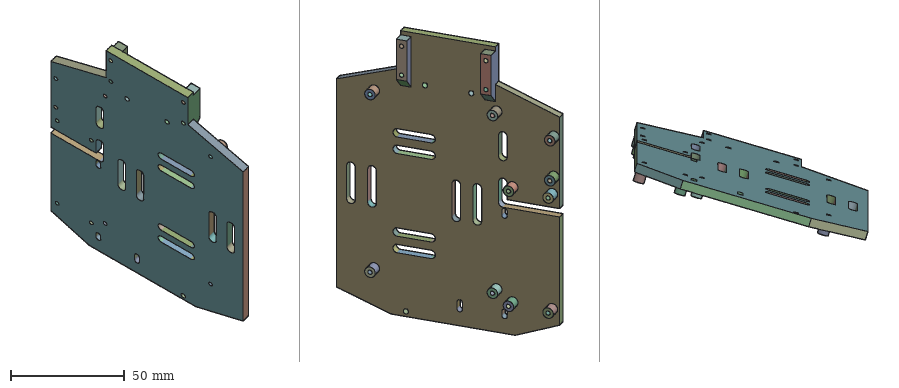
import cadquery as cq

plate_width = 106.0
plate_height = 138.0
plate_thickness = 4.0
back_height = 5.0
back_overlap = 1.0
half_width = plate_width / 2
top_z = plate_height / 2
bottom_z = -top_z

tab_half_width = 22.5
tab_base_z = 50.8
shoulder_z = 40.3
lower_corner_z = -60.4
bottom_left_x = -31.9
bottom_right_x = 27.0

slot_width = 4.0
cross_x = 16.1
cross_z = -8.8
cross_slot_length = 20.0
slot_pair_inner = 20.0
upright_pair_outer = 30.0
level_pair_outer = 28.0

side_slot_x = -26.0
side_slot_length = 14.0
upper_slot_z = 21.5
l_cut_bottom_z = -8.0

short_slot_width = 2.5
short_slots = [
    (-26.8, -10.8, 4.8),
    (-26.8, -59.5, 4.6),
    (-5.5, -59.3, 5.8),
]

plain_hole_diameter = 2.4
plain_holes = [(-11.0, 44.5), (11.0, 44.5), (20.0, -66.5)]

standoff_diameter = 5.0
screw_hole_diameter = 2.0
frame_xs = (-23.1, 35.0)
frame_zs = (38.0, -48.0)
corner_xs = (-49.5, -30.7)
corner_zs = (2.7, -53.0)
edge_x = -50.3
edge_zs = (30.6, 11.2)

block_width = 5.0
block_top_gap = 2.0
block_top_z = top_z - block_top_gap
block_bottom_z = 42.5
block_hole_zs = (64.0, 50.0)


def grid(xs, zs):
    return [(x, z) for x in xs for z in zs]


def back_plane(y):
    """XZ sketch plane at the given Y; a positive extrusion runs towards -Y."""
    return cq.Workplane("XZ", origin=(0, y, 0))


def through_slot(x, z, length, width, angle):
    sketch = back_plane(plate_thickness).center(x, z)
    return sketch.slot2D(length, width, angle).extrude(plate_thickness)


def make_plate():
    outline = [
        (-tab_half_width, top_z),
        (tab_half_width, top_z),
        (tab_half_width, tab_base_z),
        (half_width, shoulder_z),
        (half_width, lower_corner_z),
        (bottom_right_x, bottom_z),
        (bottom_left_x, bottom_z),
        (-half_width, lower_corner_z),
        (-half_width, shoulder_z),
        (-tab_half_width, tab_base_z),
    ]
    return back_plane(plate_thickness).polyline(outline).close().extrude(plate_thickness)


def cut_cross_slots(body):
    for side in (-1, 1):
        for offset in (slot_pair_inner, upright_pair_outer):
            x = cross_x + side * offset
            body = body.cut(through_slot(x, cross_z, cross_slot_length, slot_width, 90))
        for offset in (slot_pair_inner, level_pair_outer):
            z = cross_z + side * offset
            body = body.cut(through_slot(cross_x, z, cross_slot_length, slot_width, 0))
    return body


def cut_side_slots(body):
    l_slot_z = l_cut_bottom_z + side_slot_length / 2
    for z in (upper_slot_z, l_slot_z):
        body = body.cut(through_slot(side_slot_x, z, side_slot_length, slot_width, 90))
    arm = cq.Workplane("XY").box(
        side_slot_x + half_width, plate_thickness, slot_width, centered=False
    ).translate((-half_width, 0, l_cut_bottom_z))
    return body.cut(arm)


def cut_short_slots(body):
    for x, z, length in short_slots:
        body = body.cut(through_slot(x, z, length, short_slot_width, 90))
    return body


def add_standoffs(body, points):
    standoffs = (
        back_plane(plate_thickness + back_height)
        .pushPoints(points)
        .circle(standoff_diameter / 2)
        .extrude(back_height + back_overlap)
    )
    return body.union(standoffs)


def add_tab_blocks(body):
    """Blocks flush with the tab sides, with a 45 degree slope at the lower end."""
    back_y = plate_thickness + back_height
    root_y = plate_thickness - back_overlap
    profile = [
        (root_y, block_top_z),
        (back_y, block_top_z),
        (back_y, block_bottom_z + back_height),
        (plate_thickness, block_bottom_z),
        (root_y, block_bottom_z),
    ]
    for left_x in (-tab_half_width, tab_half_width - block_width):
        block = cq.Workplane("YZ", origin=(left_x, 0, 0)).polyline(profile).close().extrude(block_width)
        body = body.union(block)
    return body


def drill(body, points, diameter):
    depth = plate_thickness + back_height
    drills = back_plane(depth).pushPoints(points).circle(diameter / 2).extrude(depth)
    return body.cut(drills)


block_hole_x = tab_half_width - block_width / 2
block_holes = grid((-block_hole_x, block_hole_x), block_hole_zs)
standoff_points = grid(frame_xs, frame_zs) + grid(corner_xs, corner_zs) + grid((edge_x,), edge_zs)

result = make_plate()
result = add_standoffs(result, standoff_points)
result = add_tab_blocks(result)
result = cut_cross_slots(result)
result = cut_side_slots(result)
result = cut_short_slots(result)
result = drill(result, standoff_points + block_holes, screw_hole_diameter)
result = drill(result, plain_holes, plain_hole_diameter)